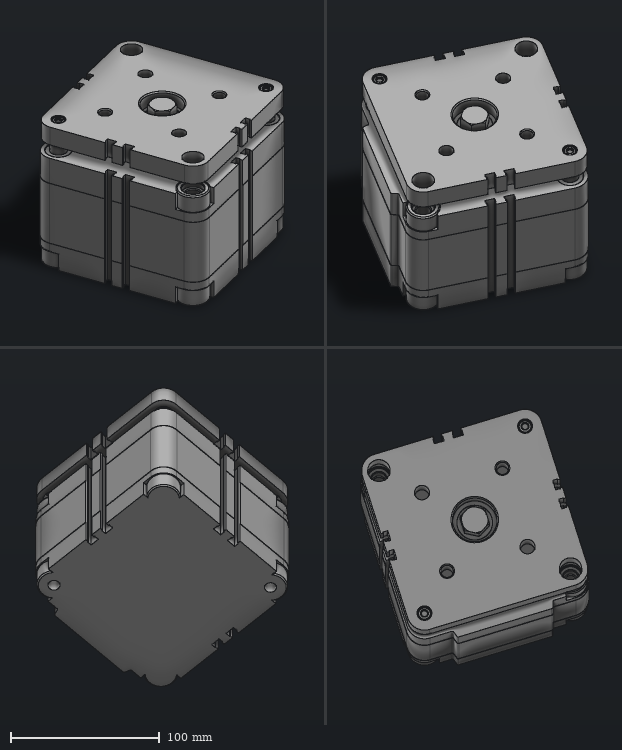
import cadquery as cq
import math

housing_height = 86.5
plate_height = 14.0
total_height = 110.5
plate_bottom = total_height - plate_height

barrel_half = 64.0
cap_inset = 0.2
cap_half = barrel_half - cap_inset
plate_half = 63.2
cap_height = 19.7
corner_offset = 51.5

ridge_height = 5.0
ridge_base_half = 35.2
ridge_top_half = 33.5
ridge_round = 1.0

slot_offset = 6.8
slot_neck_width = 5.6
slot_width = 6.8
slot_floor = 58.1
slot_shoulder = 61.5

post_diameter = 23.0
post_chamfer = 0.9
notch_wall = 44.7
bottom_notch_height = 13.0
top_notch_height = 12.4

screw_hole_diameter = 8.0
screw_bore_diameter = 10.0
screw_bore_depth = 10.6
screw_mouth_diameter = 11.5
screw_seat_diameter = 15.4
screw_seat_mouth = 16.5
screw_seat_depth = 4.0

bush_diameter = 18.0
bush_mouth_diameter = 18.6
bush_recess = 0.4

piston_rod_diameter = 25.0
flats_width = 22.1
flats_bottom_gap = 1.2
guide_rod_diameter = 12.0
guide_collar_diameter = 13.0
guide_collar_height = 1.0

access_hole_diameter = 15.0
mounting_offset = 28.3
mounting_diameter = 10.0
thread_diameter = 8.4
centre_bore_diameter = 30.0
centre_bore_depth = 9.7
bore_floor = total_height - centre_bore_depth
centre_mouth_diameter = 31.9

hex_across_flats = 17.4
hex_across_corners = hex_across_flats / math.cos(math.pi / 6)
hex_recess = 0.5
hex_chamfer_width = 1.0
hex_chamfer_height = 0.7
rod_end_diameter = 24.0
rod_end_height = 0.5

rod_screw_bore = 9.0
rod_screw_mouth = 10.0
rod_screw_depth = 2.0
rod_screw_floor = total_height - rod_screw_depth
rod_screw_diameter = 8.0
rod_screw_recess = 0.7
rod_screw_socket = 4.3
rod_screw_socket_mouth = 5.3

slack = 0.7

rod_corners = [(-corner_offset, -corner_offset), (corner_offset, corner_offset)]
screw_corners = [(-corner_offset, corner_offset), (corner_offset, -corner_offset)]


def cylinder(diameter, bottom, top, centres=((0, 0),)):
    """Upright cylinders between two heights."""
    return (
        cq.Workplane("XY", origin=(0, 0, bottom))
        .pushPoints(centres)
        .circle(diameter / 2)
        .extrude(top - bottom)
    )


def chamfered_bore(diameter, mouth_diameter, bottom, top, centres=((0, 0),)):
    """Cutters for bores with a 45 degree chamfer that opens to the mouth diameter at the top."""
    chamfer = (mouth_diameter - diameter) / 2
    mouth = (
        cq.Workplane("XY", origin=(0, 0, top))
        .pushPoints(centres)
        .circle(mouth_diameter / 2)
        .extrude(-chamfer, taper=45)
    )
    return cylinder(diameter, bottom, top, centres).union(mouth)


def box_between(x_range, y_range, z_range):
    """Box given by its limits along each axis."""
    return cq.Workplane("XY", origin=(x_range[0], y_range[0], z_range[0])).box(
        x_range[1] - x_range[0], y_range[1] - y_range[0], z_range[1] - z_range[0], centered=False
    )


def rounded_block(half, bottom, top):
    """Block with rounded upright edges."""
    return (
        cq.Workplane("XY", origin=(0, 0, bottom))
        .rect(2 * half, 2 * half)
        .extrude(top - bottom)
        .edges("|Z")
        .fillet(half - corner_offset)
    )


def ridged_block(half, bottom, top):
    """Rounded block with the ridge on +Y, its crest and feet rounded."""
    crest = half + ridge_height
    ridge = (
        cq.Workplane("XY", origin=(0, 0, bottom))
        .moveTo(-ridge_base_half, corner_offset)
        .lineTo(-ridge_base_half, half)
        .lineTo(-ridge_top_half, crest)
        .lineTo(ridge_top_half, crest)
        .lineTo(ridge_base_half, half)
        .lineTo(ridge_base_half, corner_offset)
        .close()
        .extrude(top - bottom)
        .edges("|Z and >Y")
        .fillet(ridge_round)
    )
    feet = cq.selectors.BoxSelector(
        (-ridge_base_half - slack, half - slack, bottom),
        (ridge_base_half + slack, half + slack, top),
    )
    block = rounded_block(half, bottom, top).union(ridge)
    return block.edges("|Z").edges(feet).fillet(ridge_round)


def slot_cutter():
    """The T-slots of three sides over the full height."""
    full_height = (0, total_height)
    neck_end = barrel_half + slack
    cutter = cq.Workplane("XY")
    for centre in (-slot_offset, slot_offset):
        neck_span = (centre - slot_neck_width / 2, centre + slot_neck_width / 2)
        wide_span = (centre - slot_width / 2, centre + slot_width / 2)
        wide = box_between((slot_floor, slot_shoulder), wide_span, full_height)
        slot = box_between((slot_floor, neck_end), neck_span, full_height).union(wide)
        for angle in (0, 180, 270):
            cutter = cutter.add(slot.rotate((0, 0, 0), (0, 0, 1), angle))
    return cutter.combine()


def corner_notch(centre, bottom, top):
    """Space around a corner post between two heights."""
    x_sign = math.copysign(1, centre[0])
    y_sign = math.copysign(1, centre[1])
    reach = barrel_half + slack
    x_range = sorted((x_sign * notch_wall, x_sign * reach))
    y_range = sorted((y_sign * notch_wall, y_sign * reach))
    return box_between(x_range, y_range, (bottom, top))


def cut_corner_posts(body):
    """Notches that leave a post at every lower corner and at the two upper screw corners."""
    for centre in rod_corners + screw_corners:
        post = cylinder(post_diameter, 0, bottom_notch_height, [centre]).faces("<Z").chamfer(post_chamfer)
        body = body.cut(corner_notch(centre, 0, bottom_notch_height).cut(post))

    top = housing_height
    notch_bottom = top - top_notch_height
    for centre in screw_corners:
        post = cylinder(post_diameter, notch_bottom, top, [centre]).faces(">Z").chamfer(post_chamfer)
        groove = cylinder(post_diameter, top - post_chamfer, top, [centre])
        body = body.cut(corner_notch(centre, notch_bottom, top).union(groove).cut(post))
    return body


def cut_screw_holes(body):
    """Through holes with a wider bore and a chamfered seat at the top."""
    top = housing_height
    seat_bottom = top - screw_seat_depth
    bore_bottom = seat_bottom - screw_bore_depth
    hole = cylinder(screw_hole_diameter, 0, top, screw_corners)
    bore = chamfered_bore(screw_bore_diameter, screw_mouth_diameter, bore_bottom, seat_bottom, screw_corners)
    seat = chamfered_bore(screw_seat_diameter, screw_seat_mouth, seat_bottom, top, screw_corners)
    return body.cut(hole).cut(bore).cut(seat)


def make_housing():
    """Barrel between two end caps."""
    barrel_top = housing_height - cap_height
    body = ridged_block(barrel_half, cap_height, barrel_top)
    body = body.union(ridged_block(cap_half, 0, cap_height))
    body = body.union(ridged_block(cap_half, barrel_top, housing_height))
    body = body.cut(slot_cutter())
    body = cut_corner_posts(body)
    body = cut_screw_holes(body)
    bush_floor = housing_height - bush_recess
    return body.cut(
        chamfered_bore(bush_diameter, bush_mouth_diameter, bush_floor, housing_height, rod_corners)
    )


def make_plate():
    """Top plate with its holes, centre bore and screw recesses."""
    plate = rounded_block(plate_half, plate_bottom, total_height).cut(slot_cutter())
    plate = plate.cut(cylinder(access_hole_diameter, plate_bottom, total_height, screw_corners))

    plain = [(-mounting_offset, mounting_offset), (mounting_offset, -mounting_offset)]
    threaded = [(-mounting_offset, -mounting_offset), (mounting_offset, mounting_offset)]
    plate = plate.cut(cylinder(mounting_diameter, plate_bottom, total_height, plain))
    plate = plate.cut(
        chamfered_bore(thread_diameter, mounting_diameter, plate_bottom, total_height, threaded)
    )

    plate = plate.cut(chamfered_bore(centre_bore_diameter, centre_mouth_diameter, bore_floor, total_height))
    return plate.cut(
        chamfered_bore(rod_screw_bore, rod_screw_mouth, rod_screw_floor, total_height, rod_corners)
    )


def piston_rod():
    """Round rod with two wrench flats below the plate and a narrower end in the centre bore."""
    rod = cylinder(piston_rod_diameter, housing_height, bore_floor)
    flat_zone = box_between(
        (-piston_rod_diameter, piston_rod_diameter),
        (flats_width / 2, piston_rod_diameter),
        (housing_height + flats_bottom_gap, plate_bottom),
    )
    rod_end = cylinder(rod_end_diameter, bore_floor, bore_floor + rod_end_height)
    return rod.cut(flat_zone).cut(flat_zone.mirror("XZ")).union(rod_end)


def hexagon_head():
    """Hexagon in the centre bore with its top corners chamfered off."""
    head_top = total_height - hex_recess
    head = (
        cq.Workplane("XY", origin=(0, 0, bore_floor))
        .polygon(6, hex_across_flats, circumscribed=True)
        .extrude(head_top - bore_floor)
    )
    chamfered_round = (
        cylinder(hex_across_corners, bore_floor, head_top)
        .faces(">Z")
        .chamfer(hex_chamfer_height, hex_chamfer_width)
    )
    return head.intersect(chamfered_round)


def guide_rods():
    """Two guide rods with a collar under the plate."""
    rods = cylinder(guide_rod_diameter, housing_height - bush_recess, plate_bottom, rod_corners)
    collar_bottom = plate_bottom - guide_collar_height
    return rods.union(cylinder(guide_collar_diameter, collar_bottom, plate_bottom, rod_corners))


def rod_screw_heads():
    """Round screw heads with a chamfered socket, above the guide rods."""
    screw_top = total_height - rod_screw_recess
    heads = cylinder(rod_screw_diameter, rod_screw_floor, screw_top, rod_corners)
    return heads.cut(
        chamfered_bore(rod_screw_socket, rod_screw_socket_mouth, rod_screw_floor, screw_top, rod_corners)
    )


def make_carriage():
    """Moving body: the plate with the rods and heads fixed to it."""
    carriage = make_plate()
    for piece in (piston_rod(), hexagon_head(), guide_rods(), rod_screw_heads()):
        carriage = carriage.union(piece)
    return carriage


housing = make_housing().solids()
carriage = make_carriage().solids()
result = cq.Compound.makeCompound([housing.val(), carriage.val()])